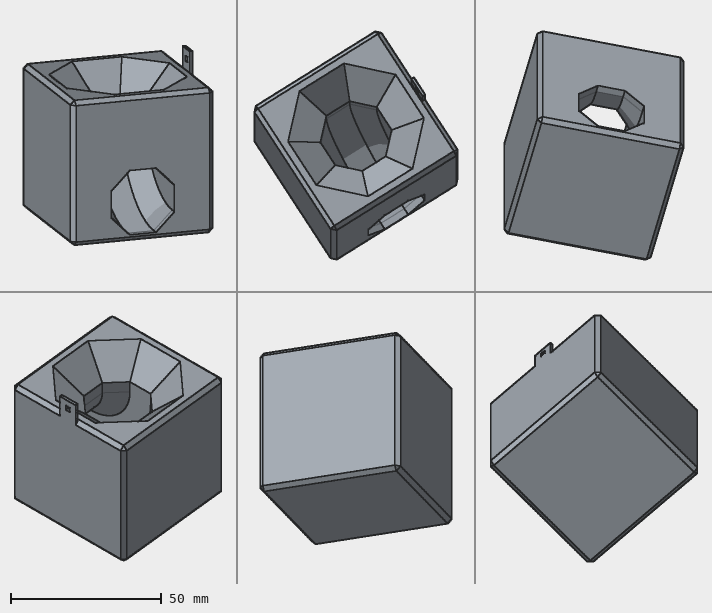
import cadquery as cq
import math

block_side = 50.0
block_chamfer = 1.5
half_side = block_side / 2

total_height = 57
tab_width = 7.0
tab_thickness = 1.0
tab_hole_side = 1.75
tab_rise = total_height - block_side

mouth_flats = 42.3
bore_flats = 22.2
funnel_depth = 10.0
straight_length = 4.2
bend_inner_radius = 11.4
bend_radius = bend_inner_radius + bore_flats / 2
bend_start_z = half_side - funnel_depth - straight_length


def octagon(plane, across_flats):
    """Regular octagon with flats parallel to the plane axes."""
    corner_diameter = across_flats / math.cos(math.pi / 8)
    points = []
    for index in range(8):
        angle = math.pi / 8 + index * math.pi / 4
        x = corner_diameter / 2 * math.cos(angle)
        y = corner_diameter / 2 * math.sin(angle)
        points.append((x, y))
    return cq.Workplane(plane).polyline(points).close()


def make_block():
    return cq.Workplane("XY").box(block_side, block_side, block_side).edges().chamfer(block_chamfer)


def make_tab():
    """Square tab, rooted in the block down past the edge chamfer."""
    tab_height = tab_rise + block_chamfer
    tab_y = half_side - tab_thickness / 2
    tab = (
        cq.Workplane("XY", origin=(0, tab_y, half_side - block_chamfer))
        .box(tab_width, tab_thickness, tab_height, centered=(True, True, False))
    )
    hole = (
        cq.Workplane("XY", origin=(0, tab_y, half_side + tab_rise / 2))
        .box(tab_hole_side, 2 * tab_thickness, tab_hole_side)
    )
    return tab.cut(hole)


def make_entry():
    """Funnel and straight bore running down from the top face."""
    top = cq.Plane(origin=(0, 0, half_side), xDir=(1, 0, 0), normal=(0, 0, -1))
    throat = cq.Plane(origin=(0, 0, half_side - funnel_depth), xDir=(1, 0, 0), normal=(0, 0, -1))
    mouth_wire = octagon(top, mouth_flats).val()
    throat_wire = octagon(throat, bore_flats).val()
    funnel = cq.Solid.makeLoft([mouth_wire, throat_wire], True)
    bore = octagon(throat, bore_flats).extrude(straight_length)
    return bore.union(cq.Workplane(funnel))


def make_bend():
    """Quarter turn of the bore from -Z to +X."""
    start = cq.Plane(origin=(0, 0, bend_start_z), xDir=(1, 0, 0), normal=(0, 0, 1))
    return octagon(start, bore_flats).revolve(90, (bend_radius, 0, 0), (bend_radius, -1, 0))


def make_exit():
    """Straight run of the bore from the end of the bend through the +X face."""
    end = cq.Plane(origin=(bend_radius, 0, bend_start_z - bend_radius), xDir=(0, 1, 0), normal=(1, 0, 0))
    return octagon(end, bore_flats).extrude(half_side - bend_radius)


passage = make_entry().union(make_bend()).union(make_exit())
result = make_block().union(make_tab()).cut(passage)